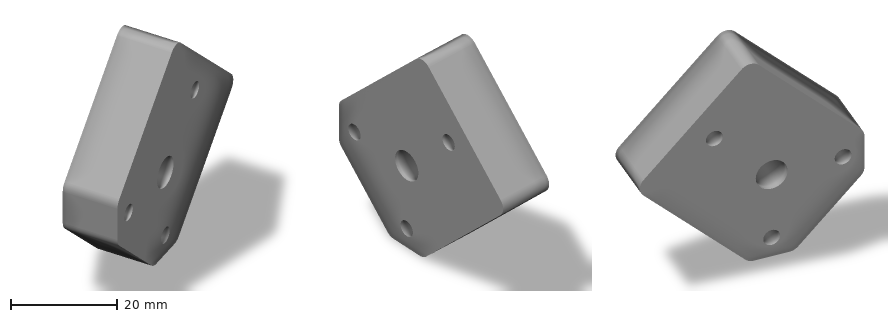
import cadquery as cq
import math

overall_size = 45.85
thickness = 11.7
corner_radius = 2.5
flat_distance = 18.95
side_distance = 16.7
bore_diameter = 6.5
screw_diameter = 3.45
axis_screw_offset = 14.6
diagonal_screw_offset = 11.7

corner_reach = overall_size - flat_distance
root2 = math.sqrt(2)
far_side_distance = (corner_reach - corner_radius) * root2 + 2 * corner_radius - side_distance

side_corner = side_distance * root2
flat_half_length = side_corner - flat_distance
corner_high = (far_side_distance + side_distance) / root2
corner_low = (far_side_distance - side_distance) / root2

outline = [
    (corner_low, corner_high),
    (corner_high, corner_low),
    (flat_half_length, -flat_distance),
    (-flat_half_length, -flat_distance),
    (-flat_distance, -flat_half_length),
    (-flat_distance, flat_half_length),
]

screw_positions = [
    (diagonal_screw_offset, diagonal_screw_offset),
    (-axis_screw_offset, 0),
    (0, -axis_screw_offset),
]

plate = cq.Workplane("YZ").polyline(outline).close().extrude(thickness)
plate = plate.edges("|X").fillet(corner_radius)

bore = cq.Workplane("YZ").circle(bore_diameter / 2).extrude(thickness)
screws = cq.Workplane("YZ").pushPoints(screw_positions).circle(screw_diameter / 2).extrude(thickness)

result = plate.cut(bore).cut(screws)